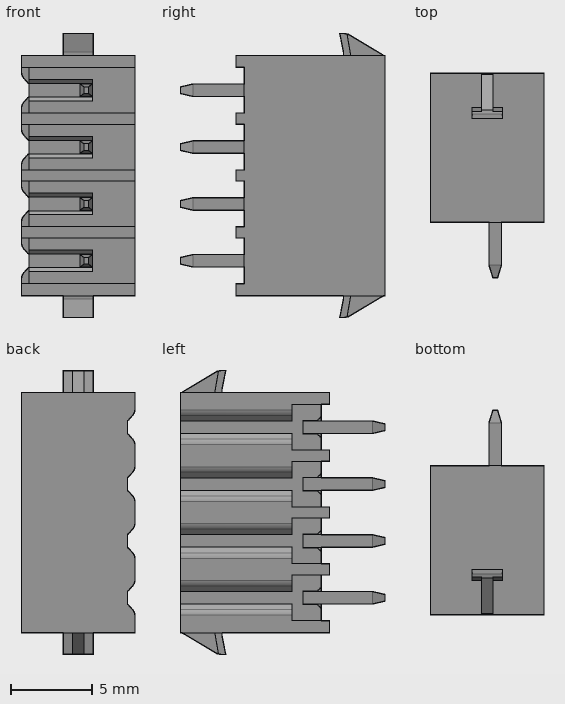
import cadquery as cq

housing_width = 7.0
housing_depth = 9.19
overall_depth = 12.6
overall_height = 17.5

cell_count = 4
cell_height = 2.8
rib_thickness = 0.7
cap_thickness = 0.75
cell_pitch = cell_height + rib_thickness
housing_height = cell_count * cell_height + (cell_count - 1) * rib_thickness + 2 * cap_thickness

front_recess = 0.5
side_recess = 0.45
side_recess_length = 2.31

groove_mouth = 2.14
groove_tangent_width = 1.47
groove_floor_width = 0.77
groove_shoulder_depth = 0.14
groove_shoulder_bulge = 0.3

slot_width = 0.84
slot_depth = 1.14
slot_chamfer = 0.25

pin_size = 0.79
pin_x = 0.49
tip_length = 0.79
tip_width = 0.3
tip_height = 0.42

latch_height = (overall_height - housing_height) / 2
bar_width = 1.87
bar_thickness = 0.45
bar_lean = 0.23
bar_foot_y = -2.12
bar_foot_height = 0.21
bar_front_y = bar_foot_y - bar_thickness
bar_top_rear_y = bar_foot_y - bar_lean
bar_top_front_y = bar_front_y - bar_lean
bar_top_land = 0.28
wedge_knee_y = -2.25
wedge_knee_drop = 0.05
wedge_width = 0.74
wedge_start_y = -0.09

side_x = -housing_width / 2
cell_face_y = front_recess - housing_depth
rib_face_y = -housing_depth
slot_floor_y = cell_face_y + slot_depth
pin_tip_y = -overall_depth
cell_centers = [(i - (cell_count - 1) / 2) * cell_pitch for i in range(cell_count)]


def box(x_range, y_range, z_range):
    """Axis-aligned box between the given pairs of limits."""
    sizes = [high - low for low, high in (x_range, y_range, z_range)]
    corner = (x_range[0], y_range[0], z_range[0])
    return cq.Workplane("XY").box(*sizes, centered=False).translate(corner)


def cell_recess(z):
    """Space removed in front of the cell face and beside its -X corner."""
    z_range = (z - cell_height / 2, z + cell_height / 2)
    front = box((side_x, -side_x), (rib_face_y, cell_face_y), z_range)
    side = box((side_x, side_x + side_recess), (rib_face_y, rib_face_y + side_recess_length), z_range)
    return front.union(side)


def keying_groove(z):
    """Groove with rounded shoulders and sloping flanks, along the whole depth."""
    floor_x = side_x + side_recess
    tangent_x = side_x + groove_shoulder_depth
    middle_x = side_x + groove_shoulder_depth * groove_shoulder_bulge
    mouth = groove_mouth / 2
    tangent = groove_tangent_width / 2
    middle = (mouth + tangent) / 2
    floor = groove_floor_width / 2
    return (
        cq.Workplane("XZ")
        .moveTo(side_x, z - mouth)
        .threePointArc((middle_x, z - middle), (tangent_x, z - tangent))
        .lineTo(floor_x, z - floor)
        .lineTo(floor_x, z + floor)
        .lineTo(tangent_x, z + tangent)
        .threePointArc((middle_x, z + middle), (side_x, z + mouth))
        .close()
        .extrude(housing_depth)
    )


def pin_slot(z):
    """Slot with chamfered long edges, from the -X side to the far side of the pin."""
    half = slot_width / 2
    mouth = half + slot_chamfer
    profile = [
        (slot_floor_y, z - half),
        (cell_face_y + slot_chamfer, z - half),
        (cell_face_y, z - mouth),
        (cell_face_y, z + mouth),
        (cell_face_y + slot_chamfer, z + half),
        (slot_floor_y, z + half),
    ]
    slot_length = pin_x + pin_size / 2 - side_x
    return cq.Workplane("YZ", origin=(side_x, 0, 0)).polyline(profile).close().extrude(slot_length)


def pin(z):
    """Square pin rooted in the slot floor, with a blunt tapered tip."""
    tip_base_y = pin_tip_y + tip_length
    shank = (
        cq.Workplane("XZ", origin=(pin_x, slot_floor_y, z))
        .rect(pin_size, pin_size)
        .extrude(slot_floor_y - tip_base_y)
    )
    tip = (
        cq.Workplane("XZ", origin=(pin_x, tip_base_y, z))
        .rect(pin_size, pin_size)
        .workplane(offset=tip_length)
        .rect(tip_width, tip_height)
        .loft(ruled=True)
    )
    return shank.union(tip)


def side_profile(points, width):
    """Prism across X, centred on the housing, from a (Y, Z) outline."""
    return cq.Workplane("YZ").polyline(points).close().extrude(width / 2, both=True)


def top_latch():
    """Bar and wedge on the top face, sharing one gentle slope behind the land on the bar."""
    base = housing_height / 2
    top = base + latch_height
    land_rear_y = bar_top_front_y + bar_top_land
    rear_slope = wedge_knee_drop / (wedge_knee_y - land_rear_y)
    bar = side_profile(
        [
            (bar_foot_y, base),
            (bar_top_rear_y, top - rear_slope * (bar_top_rear_y - land_rear_y)),
            (land_rear_y, top),
            (bar_top_front_y, top),
            (bar_front_y, base + bar_foot_height),
            (bar_front_y, base),
        ],
        bar_width,
    )
    wedge = side_profile(
        [
            (wedge_start_y, base),
            (wedge_knee_y, top - wedge_knee_drop),
            (land_rear_y, top),
            (bar_front_y, base),
        ],
        wedge_width,
    )
    return bar.union(wedge)


result = cq.Workplane("XY").box(housing_width, housing_depth, housing_height)
result = result.translate((0, -housing_depth / 2, 0))
for center in cell_centers:
    result = result.cut(cell_recess(center)).cut(keying_groove(center)).cut(pin_slot(center))
    result = result.union(pin(center))

latch = top_latch()
result = result.union(latch).union(latch.mirror("XY"))